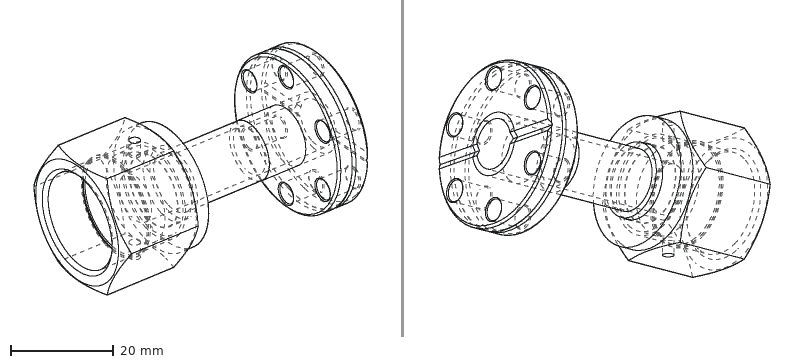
import cadquery as cq
import math

LENGTH = 59.5
BORE_DIAMETER = 10.2

FLANGE_DIAMETER = 33.8
FLANGE_THICKNESS = 7.6
FLANGE_CHAMFER = 0.505
RIM_GROOVE_WIDTH = 0.95
RIM_GROOVE_DEPTH = 0.3
RIM_GROOVE_SETBACK = 3.8
BOLT_COUNT = 6
BOLT_CIRCLE_DIAMETER = 27.0
BOLT_HOLE_DIAMETER = 4.4
BOLT_HOLE_CHAMFER = 0.25
LEAK_GROOVE_WIDTH = 2.4
LEAK_GROOVE_DEPTH = 0.8

STUB_DIAMETER = 12.7
STUB_LENGTH = 16.65

GLAND_TUBE_DIAMETER = 12.65
GLAND_COLLAR_DIAMETER = 15.2
GLAND_HEAD_DIAMETER = 18.8
GLAND_FACE_DEPTH = 14.5
GLAND_COLLAR_END = 24.0

NUT_LENGTH = 22.4
NUT_COLLAR_DIAMETER = 26.4
NUT_COLLAR_LENGTH = 3.1
HEX_SIDES = 6
HEX_ACROSS_FLATS = 27.0
HEX_CHAMFER_ANGLE = 30.0
NUT_BORE_DIAMETER = 20.6
NUT_MOUTH_DIAMETER = 22.25
NUT_GROOVE_DIAMETER = 21.4
NUT_GROOVE_START = 9.4
NUT_GROOVE_WIDTH = 0.5
NUT_INNER_BORE_DIAMETER = 20.35
NUT_SHOULDER_DEPTH = 19.05
NUT_REAR_HOLE_DIAMETER = 15.45
VENT_DIAMETER = 2.25
VENT_DEPTH = 14.35


def turned(profile):
    """Revolve a closed outline of (radius, y) points about the Y axis."""
    return cq.Workplane("XY").polyline(profile).close().revolve(360, (0, 0, 0), (0, 1, 0))


def rod(diameter, y_start, y_end):
    """Solid cylinder on the Y axis."""
    return cq.Workplane("XZ", origin=(0, y_start, 0)).circle(diameter / 2).extrude(y_start - y_end)


def make_flange():
    radius = FLANGE_DIAMETER / 2
    front = LENGTH - FLANGE_THICKNESS
    body = rod(FLANGE_DIAMETER, front, LENGTH).edges().chamfer(FLANGE_CHAMFER)

    groove_y = LENGTH - RIM_GROOVE_SETBACK
    rim_groove = (
        cq.Workplane("XY")
        .moveTo(radius, groove_y - RIM_GROOVE_WIDTH / 2)
        .threePointArc((radius - RIM_GROOVE_DEPTH, groove_y), (radius, groove_y + RIM_GROOVE_WIDTH / 2))
        .close()
        .revolve(360, (0, 0, 0), (0, 1, 0))
    )
    body = body.cut(rim_groove).cut(rod(STUB_DIAMETER, front, LENGTH))

    for index in range(BOLT_COUNT):
        angle = math.radians(90 + index * 360 / BOLT_COUNT)
        x = BOLT_CIRCLE_DIAMETER / 2 * math.cos(angle)
        z = BOLT_CIRCLE_DIAMETER / 2 * math.sin(angle)
        hole = turned([
            (0, front),
            (BOLT_HOLE_DIAMETER / 2 + BOLT_HOLE_CHAMFER, front),
            (BOLT_HOLE_DIAMETER / 2, front + BOLT_HOLE_CHAMFER),
            (BOLT_HOLE_DIAMETER / 2, LENGTH - BOLT_HOLE_CHAMFER),
            (BOLT_HOLE_DIAMETER / 2 + BOLT_HOLE_CHAMFER, LENGTH),
            (0, LENGTH),
        ])
        body = body.cut(hole.translate((x, 0, z)))
    return body.cut(make_leak_groove())


def make_leak_groove():
    """V-shaped bar that runs along X across the flange rear face."""
    return (
        cq.Workplane("YZ")
        .polyline([
            (LENGTH, -LEAK_GROOVE_WIDTH / 2),
            (LENGTH - LEAK_GROOVE_DEPTH, 0),
            (LENGTH, LEAK_GROOVE_WIDTH / 2),
        ])
        .close()
        .extrude(FLANGE_DIAMETER / 2, both=True)
    )


def make_stub():
    front = LENGTH - STUB_LENGTH
    tube = rod(STUB_DIAMETER, front, LENGTH).cut(rod(BORE_DIAMETER, front, LENGTH))
    return tube.cut(make_leak_groove())


def make_gland():
    bore = BORE_DIAMETER / 2
    head = GLAND_HEAD_DIAMETER / 2
    collar = GLAND_COLLAR_DIAMETER / 2
    tube = GLAND_TUBE_DIAMETER / 2
    return turned([
        (bore, GLAND_FACE_DEPTH),
        (head, GLAND_FACE_DEPTH),
        (head, NUT_SHOULDER_DEPTH),
        (collar, NUT_SHOULDER_DEPTH),
        (collar, GLAND_COLLAR_END),
        (tube, GLAND_COLLAR_END),
        (tube, LENGTH - STUB_LENGTH),
        (bore, LENGTH - STUB_LENGTH),
    ])


def make_nut():
    hex_end = NUT_LENGTH - NUT_COLLAR_LENGTH
    corner_diameter = HEX_ACROSS_FLATS / math.cos(math.pi / HEX_SIDES)
    hexagon = cq.Workplane("XZ").polygon(HEX_SIDES, corner_diameter).extrude(-hex_end)

    cone_drop = (corner_diameter - NUT_COLLAR_DIAMETER) / 2 * math.tan(math.radians(HEX_CHAMFER_ANGLE))
    envelope = turned([
        (0, 0),
        (NUT_COLLAR_DIAMETER / 2, 0),
        (corner_diameter / 2, cone_drop),
        (corner_diameter / 2, hex_end - cone_drop),
        (NUT_COLLAR_DIAMETER / 2, hex_end),
        (0, hex_end),
    ])
    body = hexagon.intersect(envelope).union(rod(NUT_COLLAR_DIAMETER, hex_end, NUT_LENGTH))

    mouth = NUT_MOUTH_DIAMETER / 2
    bore = NUT_BORE_DIAMETER / 2
    groove = NUT_GROOVE_DIAMETER / 2
    groove_end = NUT_GROOVE_START + NUT_GROOVE_WIDTH
    inner = NUT_INNER_BORE_DIAMETER / 2
    rear = NUT_REAR_HOLE_DIAMETER / 2
    cavity = turned([
        (0, 0),
        (mouth, 0),
        (bore, mouth - bore),
        (bore, NUT_GROOVE_START),
        (groove, NUT_GROOVE_START),
        (groove, groove_end),
        (inner, groove_end),
        (inner, NUT_SHOULDER_DEPTH),
        (rear, NUT_SHOULDER_DEPTH),
        (rear, NUT_LENGTH),
        (0, NUT_LENGTH),
    ])
    vent = (
        cq.Workplane("XY", origin=(0, VENT_DEPTH, 0))
        .circle(VENT_DIAMETER / 2)
        .extrude(HEX_ACROSS_FLATS, both=True)
    )
    return body.cut(cavity).cut(vent)


flange = make_flange()
stub = make_stub()
gland = make_gland()
nut = make_nut()
result = cq.Compound.makeCompound([flange.val(), stub.val(), gland.val(), nut.val()])